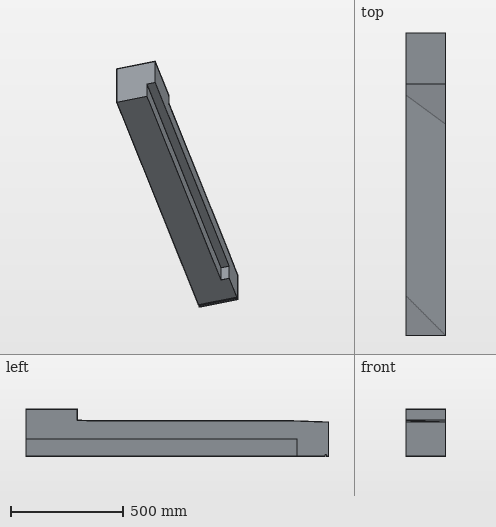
import cadquery as cq

width = 177.69
length = 1346.23
height = 209.55

head_length = 228.6
head_front = length - head_length

front_top = 152.4
cross_fall = 6.35
high_top = front_top + cross_fall
wedge_length = 177.8
short_wedge_length = 47.625
front_seam_left = wedge_length
back_seam_left = head_front - short_wedge_length
back_seam_right = head_front - wedge_length
back_slope = cross_fall / (back_seam_left - back_seam_right)

rebate_depth = 38.1
rebate_height = 76.2
rebate_front = 139.7

groove_size = 6.35
groove_front = 9.525


def cutter_above(corner, along_a, along_b):
    """Large block lying on the plane through a corner and two further points, above it."""
    origin = cq.Vector(*corner)
    x_direction = cq.Vector(*along_a) - origin
    normal = x_direction.cross(cq.Vector(*along_b) - origin)
    plane = cq.Plane(origin=origin, xDir=x_direction, normal=normal)
    span = 4 * length
    return cq.Workplane(plane).box(span, span, height, centered=(True, True, False))


def body_under_plane(outline, corner, along_a, along_b):
    """Column with the given plan outline, cut off by the plane through three points."""
    column = cq.Workplane("XY").polyline(outline).close().extrude(height)
    return column.cut(cutter_above(corner, along_a, along_b))


def make_beam():
    """Long body in front of the head, with its top made of three planes meeting at the seams."""
    front_left = (0, 0)
    front_right = (width, 0)
    seam_front = (0, front_seam_left)
    seam_back_left = (0, back_seam_left)
    seam_back_right = (width, back_seam_right)
    head_left = (0, head_front)
    head_right = (width, head_front)
    head_foot = high_top + back_slope * short_wedge_length

    front = body_under_plane(
        [front_left, front_right, seam_front],
        (*front_left, front_top),
        (*front_right, front_top),
        (*seam_front, high_top),
    )
    middle = body_under_plane(
        [front_right, seam_back_right, seam_back_left, seam_front],
        (*seam_front, high_top),
        (*front_right, front_top),
        (*seam_back_left, high_top),
    )
    back = body_under_plane(
        [seam_back_right, head_right, head_left, seam_back_left],
        (*seam_back_left, high_top),
        (*seam_back_right, front_top),
        (*head_left, head_foot),
    )
    return front.union(middle).union(back)


def make_head():
    head = cq.Workplane("XY").box(width, head_length, height, centered=False)
    return head.translate((0, head_front, 0))


def make_rebate():
    rebate = cq.Workplane("XY").box(rebate_depth, length - rebate_front, rebate_height, centered=False)
    return rebate.translate((0, rebate_front, 0))


def make_drip_groove():
    groove = cq.Workplane("XY").box(width, groove_size, groove_size, centered=False)
    return groove.translate((0, groove_front, 0))


result = make_beam().union(make_head()).cut(make_rebate()).cut(make_drip_groove())